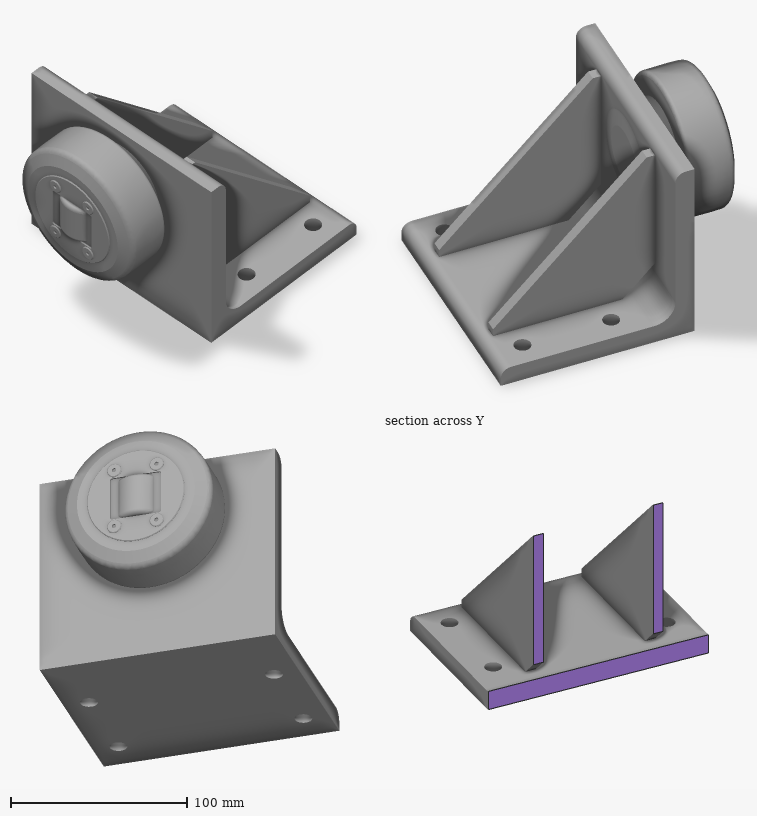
import cadquery as cq
import math


bracket_width = 140.0
leg_length = 120.0
leg_thickness = 12.0
root_radius = 13.0
toe_radius = 6.4

gusset_thickness = 6.5
gusset_spacing = 76.0
gusset_leg = 100.2
gusset_blunt_end = 5.1
gusset_root_cut = 20.0

hole_diameter = 10.2
hole_spacing_x = 110.0
hole_spacing_y = 55.0
hole_front_offset = 45.1

axis_height = 80.0
shaft_diameter = 59.0
weld_base_diameter = 55.3
weld_top_diameter = 36.0
weld_height = 1.0

roller_diameter = 88.2
roller_crown = 0.3
roller_back_depth = 9.5
roller_face_depth = 40.2
roller_face_diameter = 70.2
roller_back_radius = 2.5
roller_nose_radius = 4.0
roller_bevel_angle = 24.0

disc_diameter = 58.0
disc_depth = 40.8
edge_chamfer = 0.5
screw_head_diameter = 8.5
screw_head_height = 0.7
screw_spacing_x = 25.3
screw_spacing_z = 36.0
socket_diameter = 2.5
socket_depth = 1.0

window_width = 30.3
window_height = 26.4
window_depth = 1.0
window_corner_radius = 1.1
side_roller_tip_depth = 44.0
side_roller_radius = 16.0
side_roller_length = 25.7
side_roller_crown = 0.2
side_roller_end_radius = 2.5


def make_angle():
    profile = (
        cq.Workplane("YZ")
        .polyline([
            (0, 0),
            (leg_length, 0),
            (leg_length, leg_thickness),
            (leg_thickness, leg_thickness),
            (leg_thickness, leg_length),
            (0, leg_length),
        ])
        .close()
        .extrude(bracket_width / 2, both=True)
    )

    def edge_at(y, z):
        return cq.selectors.NearestToPointSelector((0, y, z))

    return (
        profile
        .edges(edge_at(leg_thickness, leg_thickness)).fillet(root_radius)
        .edges(edge_at(leg_length, leg_thickness)).fillet(toe_radius)
        .edges(edge_at(leg_thickness, leg_length)).fillet(toe_radius)
    )


def make_gusset(center_x):
    inner = leg_thickness
    outer = leg_thickness + gusset_leg
    return (
        cq.Workplane("YZ", origin=(center_x, 0, 0))
        .polyline([
            (inner + gusset_root_cut, inner),
            (outer, inner),
            (outer, inner + gusset_blunt_end),
            (inner + gusset_blunt_end, outer),
            (inner, outer),
            (inner, inner + gusset_root_cut),
        ])
        .close()
        .extrude(gusset_thickness / 2, both=True)
    )


def make_mounting_holes():
    return (
        cq.Workplane("XY", origin=(0, hole_front_offset + hole_spacing_y / 2, 0))
        .rarray(hole_spacing_x, hole_spacing_y, 2, 2)
        .circle(hole_diameter / 2)
        .extrude(leg_thickness)
    )


def front_plane(depth):
    """Plane facing -Y, centred on the roller axis, at a depth in front of the upright."""
    return cq.Workplane("XZ", origin=(0, -depth, axis_height))


def make_weld():
    """Shallow truncated cone behind the upright."""
    weld_top_y = leg_thickness + weld_height
    return (
        cq.Workplane("XY")
        .polyline([
            (0, 0),
            (weld_base_diameter / 2, 0),
            (weld_base_diameter / 2, leg_thickness),
            (weld_top_diameter / 2, weld_top_y),
            (0, weld_top_y),
        ])
        .close()
        .revolve(360, (0, 0), (0, 1))
        .translate((0, 0, axis_height))
    )


def make_shaft():
    return front_plane(0).circle(shaft_diameter / 2).extrude(roller_back_depth)


def make_disc():
    return (
        front_plane(roller_back_depth)
        .circle(disc_diameter / 2)
        .extrude(disc_depth - roller_back_depth)
        .faces("<Y").chamfer(edge_chamfer)
    )


def make_roller():
    crown_radius = roller_diameter / 2
    rim_radius = crown_radius - roller_crown
    face_radius = roller_face_diameter / 2
    bevel_depth = (rim_radius - face_radius) * math.tan(math.radians(roller_bevel_angle))
    rim_depth = roller_face_depth - bevel_depth
    crown_depth = (roller_back_depth + rim_depth) / 2
    blank = (
        cq.Workplane("XY")
        .moveTo(0, -roller_back_depth)
        .lineTo(rim_radius, -roller_back_depth)
        .threePointArc((crown_radius, -crown_depth), (rim_radius, -rim_depth))
        .lineTo(face_radius, -roller_face_depth)
        .lineTo(0, -roller_face_depth)
        .close()
        .revolve(360, (0, 0), (0, 1))
    )
    back_edge = cq.selectors.NearestToPointSelector((0, -roller_back_depth, 0))
    nose_edge = cq.selectors.NearestToPointSelector((0, -rim_depth, 0))
    return (
        blank
        .edges("%CIRCLE").edges(nose_edge).fillet(roller_nose_radius)
        .edges("%CIRCLE").edges(back_edge).fillet(roller_back_radius)
        .translate((0, 0, axis_height))
    )


def make_window():
    return (
        front_plane(disc_depth - window_depth)
        .rect(window_width, window_height)
        .extrude(window_depth)
        .edges("|Y").fillet(window_corner_radius)
    )


def make_side_roller():
    """Crowned roller along Z, cut away behind the window floor."""
    half_length = side_roller_length / 2
    end_radius = side_roller_radius - side_roller_crown
    roller = (
        cq.Workplane("XZ")
        .moveTo(0, -half_length)
        .lineTo(end_radius, -half_length)
        .threePointArc((side_roller_radius, 0), (end_radius, half_length))
        .lineTo(0, half_length)
        .close()
        .revolve(360, (0, 0), (0, 1))
        .faces("<Z or >Z").edges().fillet(side_roller_end_radius)
        .translate((0, side_roller_radius - side_roller_tip_depth, axis_height))
    )
    front_space = (
        front_plane(roller_back_depth)
        .rect(window_width, window_height)
        .extrude(side_roller_tip_depth)
    )
    return roller.intersect(front_space)


def screw_positions(plane):
    return plane.rarray(screw_spacing_x, screw_spacing_z, 2, 2)


def make_screw_heads():
    return (
        screw_positions(front_plane(disc_depth))
        .circle(screw_head_diameter / 2)
        .extrude(screw_head_height)
        .faces("<Y").chamfer(edge_chamfer)
    )


def make_screw_sockets():
    return (
        screw_positions(front_plane(disc_depth + screw_head_height - socket_depth))
        .circle(socket_diameter / 2)
        .extrude(socket_depth)
    )


bracket = make_angle()
for side in (-1, 1):
    bracket = bracket.union(make_gusset(side * gusset_spacing / 2))
bracket = bracket.cut(make_mounting_holes())

bearing = (
    make_roller()
    .union(make_shaft())
    .union(make_disc())
    .cut(make_window())
    .union(make_side_roller())
    .union(make_screw_heads())
    .cut(make_screw_sockets())
)

result = bracket.union(make_weld()).union(bearing).clean()